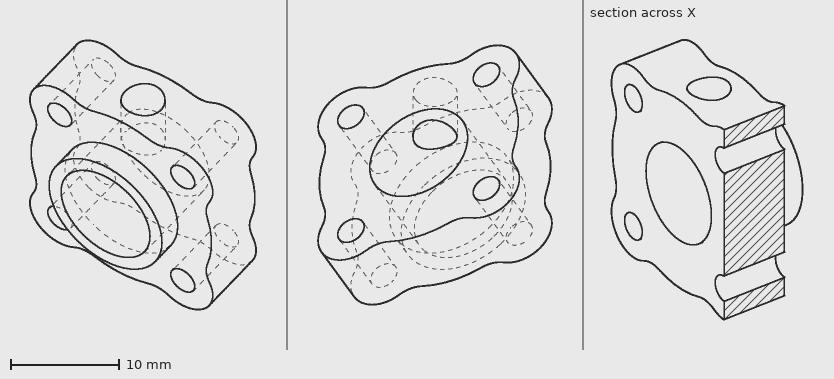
import cadquery as cq
import math

BODY_THICKNESS = 7.0
TOTAL_DEPTH = 9.53
HUB_DIAMETER = 12.7
BORE_DIAMETER = 10.0
BOLT_CIRCLE_DIAMETER = 19.558
BOLT_HOLE_DIAMETER = 2.7
OUTER_SIZE = 20.57
SIDE_RADIUS = 10.16
BLEND_RADIUS = 3.0
RADIAL_HOLE_DIAMETER = 4.06

HUB_LENGTH = TOTAL_DEPTH - BODY_THICKNESS
BOLT_OFFSET = BOLT_CIRCLE_DIAMETER / 2 / math.sqrt(2)
CORNER_RADIUS = OUTER_SIZE / 2 - BOLT_OFFSET
RADIAL_HOLE_REACH = OUTER_SIZE / 2


def polar(radius, angle):
    """Point at a distance and angle (radians) from the bore axis."""
    return (radius * math.cos(angle), radius * math.sin(angle))


def point_toward(start, end, distance):
    """Point at a distance from start along the line to end."""
    span = math.dist(start, end)
    return tuple(a + (b - a) * distance / span for a, b in zip(start, end))


def midpoint(first, second):
    """Point halfway between two points."""
    return tuple((a + b) / 2 for a, b in zip(first, second))


def lobed_outline():
    """Four round corner lobes joined by shallow arcs through tangent hollows."""
    corner_distance = BOLT_CIRCLE_DIAMETER / 2
    blend_distance = SIDE_RADIUS + BLEND_RADIUS
    reach = CORNER_RADIUS + BLEND_RADIUS
    blend_angle = math.acos(
        (corner_distance**2 + blend_distance**2 - reach**2)
        / (2 * corner_distance * blend_distance)
    )
    side_count = 4
    quarter_turn = 2 * math.pi / side_count
    side_half_angle = quarter_turn / 2 - blend_angle

    outline = cq.Workplane("XZ").moveTo(*polar(SIDE_RADIUS, -side_half_angle))
    for side in range(side_count):
        side_angle = side * quarter_turn
        corner_angle = side_angle + quarter_turn / 2
        next_side_angle = side_angle + quarter_turn
        corner = polar(corner_distance, corner_angle)
        first_blend = polar(blend_distance, corner_angle - blend_angle)
        second_blend = polar(blend_distance, corner_angle + blend_angle)
        lobe_start = point_toward(corner, first_blend, CORNER_RADIUS)
        lobe_end = point_toward(corner, second_blend, CORNER_RADIUS)
        side_end = polar(SIDE_RADIUS, side_angle + side_half_angle)
        next_side_start = polar(SIDE_RADIUS, next_side_angle - side_half_angle)
        first_blend_middle = point_toward(
            first_blend, midpoint(side_end, lobe_start), BLEND_RADIUS
        )
        second_blend_middle = point_toward(
            second_blend, midpoint(lobe_end, next_side_start), BLEND_RADIUS
        )
        outline = (
            outline.threePointArc(polar(SIDE_RADIUS, side_angle), side_end)
            .threePointArc(first_blend_middle, lobe_start)
            .threePointArc(polar(corner_distance + CORNER_RADIUS, corner_angle), lobe_end)
            .threePointArc(second_blend_middle, next_side_start)
        )
    return outline.close()


def make_body():
    """Lobed plate with its front face at Y = 0, extending toward +Y."""
    return lobed_outline().extrude(-BODY_THICKNESS)


def make_hub():
    """Round pilot hub standing out of the front face toward -Y."""
    return cq.Workplane("XZ").circle(HUB_DIAMETER / 2).extrude(HUB_LENGTH)


def make_bore():
    """Cylinder for the bore through the hub and the body."""
    front = cq.Workplane("XZ", origin=(0, -HUB_LENGTH, 0))
    return front.circle(BORE_DIAMETER / 2).extrude(-TOTAL_DEPTH)


def make_bolt_holes():
    """Four through holes, one at the centre of each corner lobe."""
    bolt_spacing = 2 * BOLT_OFFSET
    return (
        cq.Workplane("XZ")
        .rect(bolt_spacing, bolt_spacing, forConstruction=True)
        .vertices()
        .circle(BOLT_HOLE_DIAMETER / 2)
        .extrude(-BODY_THICKNESS)
    )


def make_radial_hole():
    """Hole from the top side down into the bore, midway through the body."""
    axis_start = cq.Workplane("XY", origin=(0, BODY_THICKNESS / 2, 0))
    return axis_start.circle(RADIAL_HOLE_DIAMETER / 2).extrude(RADIAL_HOLE_REACH)


result = (
    make_body()
    .union(make_hub())
    .cut(make_bore())
    .cut(make_bolt_holes())
    .cut(make_radial_hole())
)